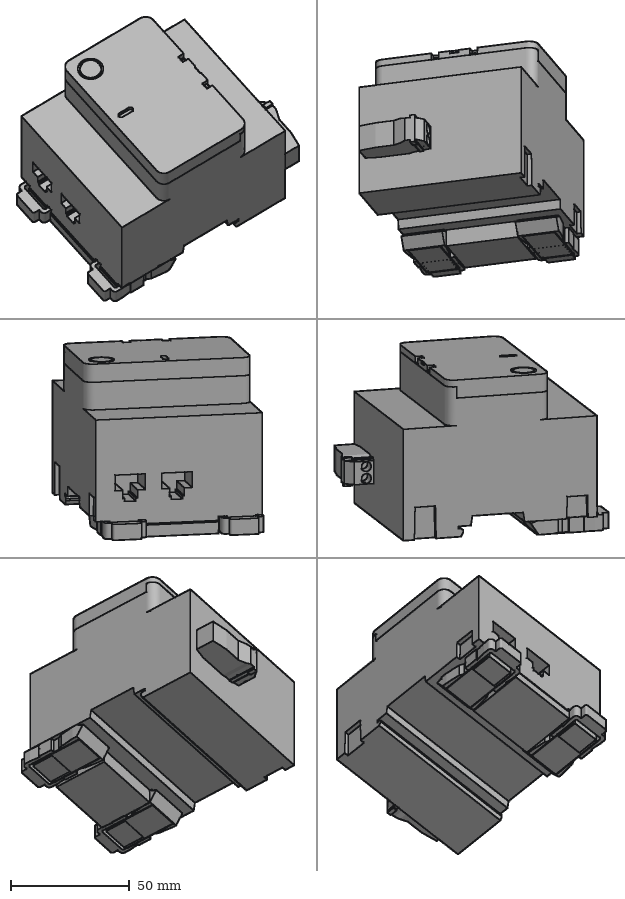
import cadquery as cq


WIDTH = 71.7
BLOCK_LENGTH = 85.0
FLOOR_Z = 7.3
FOOT_Z = 2.7
SHOULDER_Z = 50.9
TOP_Z = 70.6
TOWER_FRONT_Y = 20.8
TOWER_LENGTH = 45.0
TOWER_CORNER_R = 4.0
TOWER_REAR_Y = TOWER_FRONT_Y + TOWER_LENGTH
MID_X = WIDTH / 2

LID_BOTTOM_Z = 62.8
LID_REAR_BOTTOM_Z = 67.7
LID_STEP_Y = 61.6

LATCH_INNER_OFFSET = 6.9
LATCH_WIDTH = 3.3
LATCH_LENGTH = 2.8
NUB_WIDTH = 2.2
NUB_HEIGHT = 0.9
NUB_REAR_SLOPE = 0.7
NUB_FLAT = 1.2
NAIL_NOTCH_WIDTH = 4.0
NAIL_NOTCH_LENGTH = 0.3
NAIL_NOTCH_DEPTH = 1.0

BUTTON_X = 8.9
BUTTON_Y = 29.6
BUTTON_R = 4.5
BUTTON_SINK = 0.8
INDICATOR_Y = 28.2
INDICATOR_LENGTH = 7.3
INDICATOR_WIDTH = 2.4
INDICATOR_DEPTH = 1.6

JACK_X = 14.8
JACK_PITCH = 20.1
JACK_COUNT = 2
JACK_DEPTH = 14.7
JACK_TOP_Z = 26.9
JACK_STAGES = ((6.5, 20.2), (3.2, 16.7), (2.4, 15.5))

POCKET_YS = (8.6, 75.4)
POCKET_TOP_Z = 16.8
POCKET_TOP_WIDTH = 8.9
POCKET_BOTTOM_WIDTH = 9.6
POCKET_DEPTH = 1.9

SEAT_TOP_Z = 11.4
SEAT_FRONT_Y = 31.8
SEAT_REAR_Y = 55.3
SEAT_TAPER = 0.6
HOOK_ROOT_Y = 60.9
HOOK_TOP_Z = 6.2
HOOK_NOSE_Y = 59.5
HOOK_TIP_Y = 58.7
HOOK_TIP_TOP_Z = 5.5
HOOK_TIP_BOTTOM_Z = 4.6
HOOK_HEEL_Y = 59.7

GUIDE_LENGTH = 24.7
GUIDE_NOSE = 0.5
BAR_NOSE_TOP_Z = 5.6
TONGUE_NOSE_TOP_Z = 6.2
BAR_LEFT_X = 21.3
BAR_RIGHT_X = 52.7
TONGUE_WIDTH = 12.3
TONGUE_LENGTH = 9.5
FLANGE_WIDTH = 14.3
FLANGE_THICKNESS = 0.4

CLIP_X = 12.1
CLIP_PITCH = 50.5
CLIP_COUNT = 2
CLIP_WIDTH = 18.1
CLIP_LEG = 1.8
CLIP_BAR_INNER_Y = -2.2
CLIP_BAR_OUTER_Y = -4.0
CLIP_FRONT_Y = -7.0
CLIP_OUTER_R = 1.7
CLIP_INNER_R = 0.7
CLIP_TAB_R = 0.8
CLIP_HEAD_Y = 22.6
CLIP_NECK_Y = 15.8
CLIP_NECK_INSET = 0.8
CLIP_STEP_Y = 14.5
CLIP_STEP_INSET = 1.5
CLIP_WAIST_REAR_Y = 13.8
CLIP_WAIST_FRONT_Y = 11.3
CLIP_WAIST_INSET = 1.8
CLIP_NICK_Y = 4.7
CLIP_NICK_INSET = 0.5
CLIP_TIP_Y = 28.1
CLIP_TIP_Z = 5.6
CLIP_CATCH_Y = 25.7
CLIP_CATCH_Z = 6.5

PLUG_MID_Z = 23.5
PLUG_HALF_HEIGHT = 5.6
PLUG_NOSE_HALF_HEIGHT = 4.9
PLUG_NECK_HALF_HEIGHT = 5.4
PLUG_CREST_HALF_HEIGHT = 5.0
PLUG_COLLAR_HALF_HEIGHT = 6.1
PLUG_LEFT_X = 39.7
PLUG_COLLAR_X = 42.8
PLUG_COLLAR_END_X = 44.8
PLUG_CREST_END_X = 47.1
PLUG_SLOPE_END_X = 49.3
PLUG_SADDLE_X = 52.7
PLUG_SADDLE_END_X = 60.8
PLUG_RIGHT_X = 68.5
PLUG_TOP_Y = 98.2
PLUG_SADDLE_Y = 95.9
PLUG_SIDE_TOP_Y = 94.6
PLUG_SIDE_BOTTOM_Y = 86.0
PLUG_SEAT_LEFT_X = 44.7
PLUG_SEAT_RIGHT_X = 62.9
WIRE_HOLE_Y = 89.3
WIRE_HOLE_R = 2.1
WIRE_HOLE_PITCH = 5.2
WIRE_HOLE_COUNT = 2
WIRE_HOLE_DEPTH = 5.3


def box(x_range, y_range, z_range):
    """Box between two limits on each axis."""
    size = [limits[1] - limits[0] for limits in (x_range, y_range, z_range)]
    corner = (x_range[0], y_range[0], z_range[0])
    return cq.Workplane("XY").box(*size, centered=False).translate(corner)


def side_prism(points, x_range):
    """Prism along X from an outline of (y, z) points."""
    prism = cq.Workplane("YZ").polyline(points).close().extrude(x_range[1] - x_range[0])
    return prism.translate((x_range[0], 0, 0))


def tower_block(bottom_z, top_z):
    """Slice of the tower, with rounded upright corners."""
    block = box((0, WIDTH), (TOWER_FRONT_Y, TOWER_REAR_Y), (bottom_z, top_z))
    return block.edges("|Z").fillet(TOWER_CORNER_R)


def lid_space():
    """Space above the stepped seam between the tower and the lid."""
    outline = [
        (TOWER_FRONT_Y, LID_BOTTOM_Z),
        (LID_STEP_Y, LID_BOTTOM_Z),
        (LID_STEP_Y, LID_REAR_BOTTOM_Z),
        (TOWER_REAR_Y, LID_REAR_BOTTOM_Z),
        (TOWER_REAR_Y, TOP_Z),
        (TOWER_FRONT_Y, TOP_Z),
    ]
    return side_prism(outline, (0, WIDTH))


def mirrored_pair(shape):
    """A shape together with its mirror image about the middle of the housing."""
    return shape.union(shape.mirror("YZ", (MID_X, 0, 0)))


def latch_windows():
    """Windows through the rear edge of the lid."""
    right = MID_X - LATCH_INNER_OFFSET
    window = box((right - LATCH_WIDTH, right), (TOWER_REAR_Y - LATCH_LENGTH, TOWER_REAR_Y),
                 (LID_REAR_BOTTOM_Z, TOP_Z))
    return mirrored_pair(window)


def latch_nubs():
    """Sloped nubs on top of the tower that stand in the latch windows."""
    right = MID_X - LATCH_INNER_OFFSET
    crest_z = LID_REAR_BOTTOM_Z + NUB_HEIGHT
    crest_rear = TOWER_REAR_Y - NUB_REAR_SLOPE
    outline = [
        (TOWER_REAR_Y, LID_REAR_BOTTOM_Z),
        (crest_rear, crest_z),
        (crest_rear - NUB_FLAT, crest_z),
        (TOWER_REAR_Y - LATCH_LENGTH, LID_REAR_BOTTOM_Z),
    ]
    return mirrored_pair(side_prism(outline, (right - NUB_WIDTH, right)))


def jack_opening(x):
    """Stepped network jack, narrowing downward."""
    opening = None
    stage_top = JACK_TOP_Z
    for half_width, stage_bottom in JACK_STAGES:
        stage = box((x - half_width, x + half_width), (0, JACK_DEPTH), (stage_bottom, stage_top))
        opening = stage if opening is None else opening.union(stage)
        stage_top = stage_bottom
    return opening


def side_pocket(y):
    """Pocket in the left side, open downward and widening toward the bottom."""
    outline = [
        (y - POCKET_TOP_WIDTH / 2, POCKET_TOP_Z),
        (y + POCKET_TOP_WIDTH / 2, POCKET_TOP_Z),
        (y + POCKET_BOTTOM_WIDTH / 2, FOOT_Z),
        (y - POCKET_BOTTOM_WIDTH / 2, FOOT_Z),
    ]
    return side_prism(outline, (0, POCKET_DEPTH))


def guide(x_range, length, nose_top_z):
    """Guide block under the floor whose front edge stands proud with a sloped top."""
    outline = [
        (-GUIDE_NOSE, 0),
        (-GUIDE_NOSE, nose_top_z - GUIDE_NOSE),
        (0, nose_top_z),
        (0, FLOOR_Z),
        (length, FLOOR_Z),
        (length, 0),
    ]
    return side_prism(outline, x_range)


def clip_guide(x):
    """Tongue inside a clip, with a thin flange below that carries the clip."""
    tongue = guide((x - TONGUE_WIDTH / 2, x + TONGUE_WIDTH / 2), TONGUE_LENGTH, TONGUE_NOSE_TOP_Z)
    flange = box((x - FLANGE_WIDTH / 2, x + FLANGE_WIDTH / 2), (0, GUIDE_LENGTH), (0, FLANGE_THICKNESS))
    return tongue.union(flange)


def make_housing():
    """Housing block with tower, rail seat, guides, jacks and pockets."""
    outline = [
        (0, FLOOR_Z),
        (SEAT_FRONT_Y, FLOOR_Z),
        (SEAT_FRONT_Y + SEAT_TAPER, SEAT_TOP_Z),
        (SEAT_REAR_Y - SEAT_TAPER, SEAT_TOP_Z),
        (SEAT_REAR_Y, FLOOR_Z),
        (HOOK_ROOT_Y, FLOOR_Z),
        (HOOK_ROOT_Y, HOOK_TOP_Z),
        (HOOK_NOSE_Y, HOOK_TOP_Z),
        (HOOK_TIP_Y, HOOK_TIP_TOP_Z),
        (HOOK_TIP_Y, HOOK_TIP_BOTTOM_Z),
        (HOOK_HEEL_Y, FOOT_Z),
        (BLOCK_LENGTH, FOOT_Z),
        (BLOCK_LENGTH, SHOULDER_Z),
        (0, SHOULDER_Z),
    ]
    housing = side_prism(outline, (0, WIDTH))
    tower = tower_block(SHOULDER_Z, TOP_Z).cut(lid_space()).union(latch_nubs())
    housing = housing.union(tower)
    housing = housing.union(guide((BAR_LEFT_X, BAR_RIGHT_X), GUIDE_LENGTH, BAR_NOSE_TOP_Z))
    for index in range(CLIP_COUNT):
        housing = housing.union(clip_guide(CLIP_X + index * CLIP_PITCH))
    for index in range(JACK_COUNT):
        housing = housing.cut(jack_opening(JACK_X + index * JACK_PITCH))
    for y in POCKET_YS:
        housing = housing.cut(side_pocket(y))
    return housing


def make_button():
    """Round push button, flush with the top of the lid."""
    base = cq.Workplane("XY", origin=(BUTTON_X, BUTTON_Y, LID_BOTTOM_Z))
    return base.circle(BUTTON_R).extrude(TOP_Z - LID_BOTTOM_Z)


def button_countersink():
    """Cone that widens the mouth of the button hole."""
    top_r = BUTTON_R + BUTTON_SINK
    cone = cq.Solid.makeCone(BUTTON_R, top_r, BUTTON_SINK, cq.Vector(BUTTON_X, BUTTON_Y, TOP_Z - BUTTON_SINK))
    return cq.Workplane(cone)


def make_lid():
    """Stepped lid with countersunk button hole, indicator slot and openings at the rear edge."""
    lid = tower_block(SHOULDER_Z, TOP_Z).intersect(lid_space())
    indicator = (
        cq.Workplane("XY", origin=(MID_X, INDICATOR_Y, TOP_Z))
        .slot2D(INDICATOR_LENGTH, INDICATOR_WIDTH, 90)
        .extrude(-INDICATOR_DEPTH)
    )
    nail_notch = box((MID_X - NAIL_NOTCH_WIDTH / 2, MID_X + NAIL_NOTCH_WIDTH / 2),
                     (TOWER_REAR_Y - NAIL_NOTCH_LENGTH, TOWER_REAR_Y),
                     (TOP_Z - NAIL_NOTCH_DEPTH, TOP_Z))
    lid = lid.cut(make_button()).cut(button_countersink())
    return lid.cut(indicator).cut(latch_windows()).cut(nail_notch)


def round_corners(body, x, y, radius):
    """Round the two upright edges at (-x, y) and (x, y)."""
    reach = 0.1
    for side in (-x, x):
        corner = cq.selectors.BoxSelector((side - reach, y - reach, 0), (side + reach, y + reach, FLOOR_Z))
        body = body.edges("|Z").edges(corner).fillet(radius)
    return body


def clip_plan():
    """Clip seen from above, centred on x = 0, as a tall prism."""
    half = CLIP_WIDTH / 2
    right_side = [
        (TONGUE_WIDTH / 2, CLIP_FRONT_Y),
        (TONGUE_WIDTH / 2, CLIP_BAR_OUTER_Y),
        (half, CLIP_BAR_OUTER_Y),
        (half, 0),
        (half - CLIP_NICK_INSET, CLIP_NICK_Y),
        (half, CLIP_NICK_Y),
        (half, CLIP_WAIST_FRONT_Y),
        (half - CLIP_WAIST_INSET, CLIP_WAIST_FRONT_Y),
        (half - CLIP_WAIST_INSET, CLIP_WAIST_REAR_Y),
        (half - CLIP_STEP_INSET, CLIP_STEP_Y),
        (half - CLIP_NECK_INSET, CLIP_NECK_Y),
        (half, CLIP_HEAD_Y),
        (half, CLIP_TIP_Y),
    ]
    left_side = [(-x, y) for x, y in reversed(right_side)]
    plan = cq.Workplane("XY").polyline(right_side + left_side).close().extrude(FLOOR_Z)

    plan = round_corners(plan, half, CLIP_BAR_OUTER_Y, CLIP_OUTER_R)
    plan = round_corners(plan, TONGUE_WIDTH / 2, CLIP_FRONT_Y, CLIP_TAB_R)
    inner_half = half - CLIP_LEG
    loop = box((-inner_half, inner_half), (CLIP_BAR_INNER_Y, TONGUE_LENGTH), (0, FLOOR_Z))
    return plan.cut(loop.edges("|Z and <Y").fillet(CLIP_INNER_R))


def make_clip(x):
    """Sliding rail clip: a pull tab, two legs around the tongue and a wedge-shaped head."""
    outline = [
        (CLIP_FRONT_Y, FLANGE_THICKNESS),
        (GUIDE_LENGTH, FLANGE_THICKNESS),
        (CLIP_TIP_Y, CLIP_TIP_Z),
        (CLIP_CATCH_Y, CLIP_CATCH_Z),
        (CLIP_CATCH_Y, FLOOR_Z),
        (CLIP_FRONT_Y, FLOOR_Z),
    ]
    profile = side_prism(outline, (-CLIP_WIDTH / 2, CLIP_WIDTH / 2))
    return clip_plan().intersect(profile).translate((x, 0, 0))


def plug_plan():
    """Plug seen from above, as a prism tall enough for its collar."""
    outline = [
        (PLUG_SEAT_LEFT_X, BLOCK_LENGTH),
        (PLUG_LEFT_X, PLUG_SIDE_BOTTOM_Y),
        (PLUG_LEFT_X, PLUG_SIDE_TOP_Y),
        (PLUG_COLLAR_X, PLUG_TOP_Y),
        (PLUG_CREST_END_X, PLUG_TOP_Y),
        (PLUG_SADDLE_X, PLUG_SADDLE_Y),
        (PLUG_SADDLE_END_X, PLUG_SADDLE_Y),
        (PLUG_RIGHT_X, PLUG_SIDE_TOP_Y),
        (PLUG_RIGHT_X, PLUG_SIDE_BOTTOM_Y),
        (PLUG_SEAT_RIGHT_X, BLOCK_LENGTH),
    ]
    base = cq.Workplane("XY", origin=(0, 0, PLUG_MID_Z))
    return base.polyline(outline).close().extrude(PLUG_COLLAR_HALF_HEIGHT, both=True)


def make_plug():
    """Terminal plug with a raised collar and two wire holes in its left end."""
    upper = [
        (PLUG_LEFT_X, PLUG_NOSE_HALF_HEIGHT),
        (PLUG_COLLAR_X, PLUG_NOSE_HALF_HEIGHT),
        (PLUG_COLLAR_X, PLUG_NECK_HALF_HEIGHT),
        (PLUG_COLLAR_END_X, PLUG_NECK_HALF_HEIGHT),
        (PLUG_COLLAR_END_X, PLUG_CREST_HALF_HEIGHT),
        (PLUG_CREST_END_X, PLUG_CREST_HALF_HEIGHT),
        (PLUG_SLOPE_END_X, PLUG_HALF_HEIGHT),
        (PLUG_RIGHT_X, PLUG_HALF_HEIGHT),
    ]
    lower = [(x, -z) for x, z in reversed(upper)]
    profile = (
        cq.Workplane("XZ", origin=(0, PLUG_TOP_Y, PLUG_MID_Z))
        .polyline(upper + lower)
        .close()
        .extrude(PLUG_TOP_Y - BLOCK_LENGTH)
    )
    collar = box((PLUG_COLLAR_X, PLUG_COLLAR_END_X), (PLUG_SIDE_TOP_Y, PLUG_TOP_Y),
                 (PLUG_MID_Z - PLUG_COLLAR_HALF_HEIGHT, PLUG_MID_Z + PLUG_COLLAR_HALF_HEIGHT))
    wire_holes = (
        cq.Workplane("YZ", origin=(PLUG_LEFT_X, WIRE_HOLE_Y, PLUG_MID_Z))
        .rarray(1, WIRE_HOLE_PITCH, 1, WIRE_HOLE_COUNT)
        .circle(WIRE_HOLE_R)
        .extrude(WIRE_HOLE_DEPTH)
    )
    return plug_plan().intersect(profile.union(collar)).cut(wire_holes)


housing = make_housing()
lid = make_lid()
button = make_button()
plug = make_plug()
clips = [make_clip(CLIP_X + index * CLIP_PITCH) for index in range(CLIP_COUNT)]

result = cq.Compound.makeCompound(
    [housing.val(), lid.val(), button.val(), plug.val(), *[clip.val() for clip in clips]]
)